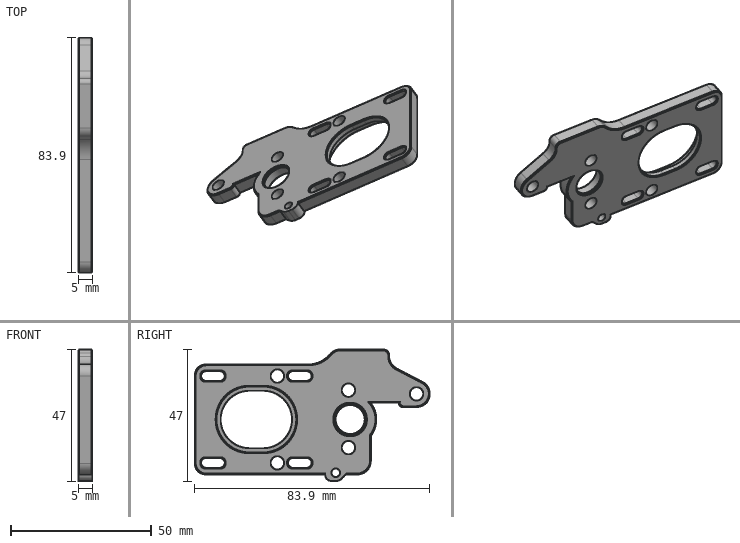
import cadquery as cq
import math

thickness = 5.0
chamfer = 0.4
chamfer_angle = 45.0

length_y = 83.92
top_z = 25.0
body_half_height = 19.68
body_corner_radius = 4.0
ear_tip_y = 28.45
body_end_y = ear_tip_y - length_y
wall_y = 7.45
wall_corner_radius = 5.0

top_left_y = 11.95
top_left_radius = 2.0
top_right_y = -3.75
slope_angle = 45.0
slope_convex_radius = 4.0
slope_concave_radius = 10.0

ear_radius = 4.75
ear_hole_y = ear_tip_y - ear_radius
ear_hole_z = 9.15
ear_slope = 27.5
ear_concave_radius = 5.0
ear_step_y = 17.35
ear_step_radius = 1.5
ear_bottom_z = ear_hole_z - ear_radius
ear_underside_z = ear_bottom_z + ear_step_radius

bore_diameter = 10.3
bore_seat_diameter = 11.3
bore_lip = 1.0
boss_radius = 9.4

screw_diameter = 4.7
bore_screw_y = -0.6
bore_screw_mid_z = 0.2
bore_screw_spacing = 20.5

motor_end_distance = 22.0
motor_y = body_end_y + motor_end_distance
adjustment_travel = 5.0
motor_opening_width = 20.4
motor_recess_width = 23.4
motor_lip = 2.2
motor_pitch = 31.0
slot_width = 3.4
motor_screw_offset_y = 7.5
motor_screw_y = motor_y + motor_screw_offset_y

lug_hole_diameter = 3.0
lug_hole_y = -5.13
lug_radius = 3.0
lug_flank_angle = -45.0
lug_bottom_z = -22.0
lug_hole_z = lug_bottom_z + lug_radius
lug_end_y = -8.95
lug_corner_radius = -body_half_height - lug_bottom_z


def on_circle(center, radius, degrees):
    """Point on a circle, the angle counted from +Y towards +Z."""
    angle = math.radians(degrees)
    return (center[0] + radius * math.cos(angle), center[1] + radius * math.sin(angle))


def add_arc(wire, center, radius, start, end):
    """Continue an outline, which stands at the start angle, along an arc to the end angle."""
    return wire.threePointArc(
        on_circle(center, radius, (start + end) / 2),
        on_circle(center, radius, end),
    )


def plate_blank():
    """Chamfered plate without the lug, drawn from the ear round to the body and back."""
    ear_center = (ear_hole_y, ear_hole_z)
    ear_tangent = 90 - ear_slope

    top_left = (top_left_y, top_z - top_left_radius)
    slope = math.radians(ear_slope)
    touching_ear = on_circle(ear_center, ear_radius + ear_concave_radius, ear_tangent)
    offset_y = touching_ear[0] - top_left[0]
    offset_z = top_left[1] - touching_ear[1]
    along = offset_y * math.cos(slope) + offset_z * math.sin(slope)
    across = offset_y * math.sin(slope) - offset_z * math.cos(slope)
    run = along - math.sqrt((top_left_radius + ear_concave_radius) ** 2 - across**2)
    ear_concave = (touching_ear[0] - run * math.cos(slope), touching_ear[1] + run * math.sin(slope))
    join_angle = math.degrees(math.atan2(ear_concave[1] - top_left[1], ear_concave[0] - top_left[0]))

    convex = (top_right_y, top_z - slope_convex_radius)
    concave_z = body_half_height + slope_concave_radius
    radii = slope_convex_radius + slope_concave_radius
    turn = math.radians(slope_angle)
    concave_y = convex[0] - (radii - (concave_z - convex[1]) * math.cos(turn)) / math.sin(turn)
    concave = (concave_y, concave_z)

    corner_z = body_half_height - body_corner_radius
    end_center_y = body_end_y + body_corner_radius
    wall_corner = (wall_y - wall_corner_radius, -body_half_height + wall_corner_radius)

    boss_wall_angle = -math.degrees(math.acos(wall_y / boss_radius))
    boss_ear_angle = math.degrees(math.asin(ear_underside_z / boss_radius))
    step = (ear_step_y + ear_step_radius, ear_underside_z)

    wire = cq.Workplane("YZ").moveTo(ear_hole_y, ear_bottom_z)
    wire = add_arc(wire, ear_center, ear_radius, -90, ear_tangent)
    wire = wire.lineTo(*on_circle(ear_concave, ear_concave_radius, ear_tangent - 180))
    wire = add_arc(wire, ear_concave, ear_concave_radius, ear_tangent + 180, join_angle + 180)
    wire = add_arc(wire, top_left, top_left_radius, join_angle, 90)
    wire = wire.lineTo(top_right_y, top_z)
    wire = add_arc(wire, convex, slope_convex_radius, 90, 90 + slope_angle)
    wire = wire.lineTo(*on_circle(concave, slope_concave_radius, slope_angle - 90))
    wire = add_arc(wire, concave, slope_concave_radius, slope_angle - 90, -90)
    wire = wire.lineTo(end_center_y, body_half_height)
    wire = add_arc(wire, (end_center_y, corner_z), body_corner_radius, 90, 180)
    wire = wire.lineTo(body_end_y, -corner_z)
    wire = add_arc(wire, (end_center_y, -corner_z), body_corner_radius, 180, 270)
    wire = wire.lineTo(wall_corner[0], -body_half_height)
    wire = add_arc(wire, wall_corner, wall_corner_radius, -90, 0)
    wire = wire.lineTo(*on_circle((0, 0), boss_radius, boss_wall_angle))
    wire = add_arc(wire, (0, 0), boss_radius, boss_wall_angle, boss_ear_angle)
    wire = wire.lineTo(ear_step_y, ear_underside_z)
    wire = add_arc(wire, step, ear_step_radius, 180, 270)
    return wire.close().extrude(thickness).faces("<X or >X").edges().chamfer(chamfer)


def lug():
    """Unchamfered lug: 45 degree flank, round nose about its hole and a rounded far corner."""
    center = (lug_hole_y, lug_hole_z)
    root_z = -body_half_height + 2 * chamfer
    nose_start = on_circle(center, lug_radius, lug_flank_angle)
    corner = (lug_end_y + lug_corner_radius, lug_bottom_z + lug_corner_radius)

    wire = cq.Workplane("YZ").moveTo(nose_start[0] + root_z - nose_start[1], root_z)
    wire = wire.lineTo(*nose_start)
    wire = add_arc(wire, center, lug_radius, lug_flank_angle, -90)
    wire = wire.lineTo(corner[0], lug_bottom_z)
    wire = add_arc(wire, corner, lug_corner_radius, -90, -180)
    wire = wire.lineTo(lug_end_y, root_z)
    return wire.close().extrude(thickness)


def round_cutter(points, diameter):
    """Plain through holes."""
    return cq.Workplane("YZ").pushPoints(points).circle(diameter / 2).extrude(thickness)


def chamfered_cutter(y, z, width, travel=0.0, far_width=None, lip=0.0):
    """Through hole, stretched along Y by the travel and chamfered on both faces.

    A hole with a far width opens out to it beyond the lip left at the -X face.
    """
    if far_width is None:
        far_width = width

    def profile(x, size):
        plane = cq.Workplane("YZ", origin=(x, y, z))
        if travel == 0:
            return plane.circle(size / 2)
        return plane.slot2D(size + travel, size)

    cutter = profile(0, width).extrude(thickness)
    cutter = cutter.union(profile(0, width + 2 * chamfer).extrude(chamfer, taper=chamfer_angle))
    far_mouth = profile(thickness, far_width + 2 * chamfer)
    cutter = cutter.union(far_mouth.extrude(-chamfer, taper=chamfer_angle))
    if far_width > width:
        cutter = cutter.union(profile(lip, far_width).extrude(thickness - lip))
    return cutter


screw_points = [(ear_hole_y, ear_hole_z)]
for side in (-1, 1):
    screw_points.append((bore_screw_y, bore_screw_mid_z + side * bore_screw_spacing / 2))
    screw_points.append((motor_screw_y, side * motor_pitch / 2))

result = plate_blank().union(lug())
result = result.cut(round_cutter(screw_points, screw_diameter))
result = result.cut(round_cutter([(lug_hole_y, lug_hole_z)], lug_hole_diameter))
result = result.cut(chamfered_cutter(0, 0, bore_diameter, far_width=bore_seat_diameter, lip=bore_lip))
motor_opening = chamfered_cutter(
    motor_y, 0, motor_opening_width, adjustment_travel, far_width=motor_recess_width, lip=motor_lip
)
result = result.cut(motor_opening)
for y_side in (-1, 1):
    for z_side in (-1, 1):
        slot_y = motor_y + y_side * motor_pitch / 2
        slot_z = z_side * motor_pitch / 2
        result = result.cut(chamfered_cutter(slot_y, slot_z, slot_width, adjustment_travel))